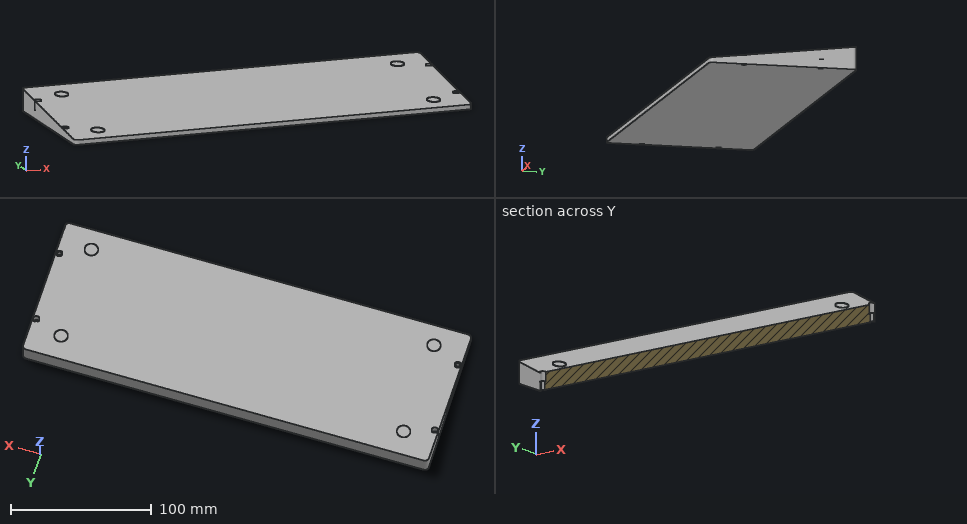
import cadquery as cq

length = 301.0
width = 108.0
rear_height = 16.5
front_height = 3.5
corner_radius = 3.0

screw_diameter = 2.95
counterbore_diameter = 4.5
counterbore_floor = 6.3
screw_end_inset = 2.7
screw_rows = (26.0, 82.0)

recess_diameter = 9.5
recess_depth = 0.3
recess_end_inset = 23.5
recess_rows = (16.0, 89.7)


def sloped_prism(drop=0.0):
    """Wedge whose sloping face is lowered vertically by the given drop."""
    return (
        cq.Workplane("YZ")
        .polyline([(0, 0), (width, 0), (width, rear_height - drop), (0, front_height - drop)])
        .close()
        .extrude(length)
    )


def mirrored_points(end_inset, rows):
    """Positions at the same inset from both ends, for each row."""
    return [(x, y) for x in (end_inset, length - end_inset) for y in rows]


def vertical_cylinders(points, diameter, bottom):
    """Upright cylinders from the bottom level to the height of the rear edge."""
    return (
        cq.Workplane("XY", origin=(0, 0, bottom))
        .pushPoints(points)
        .circle(diameter / 2)
        .extrude(rear_height - bottom)
    )


body = sloped_prism().edges("|Z").fillet(corner_radius)

screw_points = mirrored_points(screw_end_inset, screw_rows)
body = body.cut(vertical_cylinders(screw_points, screw_diameter, 0))
body = body.cut(vertical_cylinders(screw_points, counterbore_diameter, counterbore_floor))

recess_points = mirrored_points(recess_end_inset, recess_rows)
recesses = vertical_cylinders(recess_points, recess_diameter, 0).cut(sloped_prism(recess_depth))

result = body.cut(recesses)